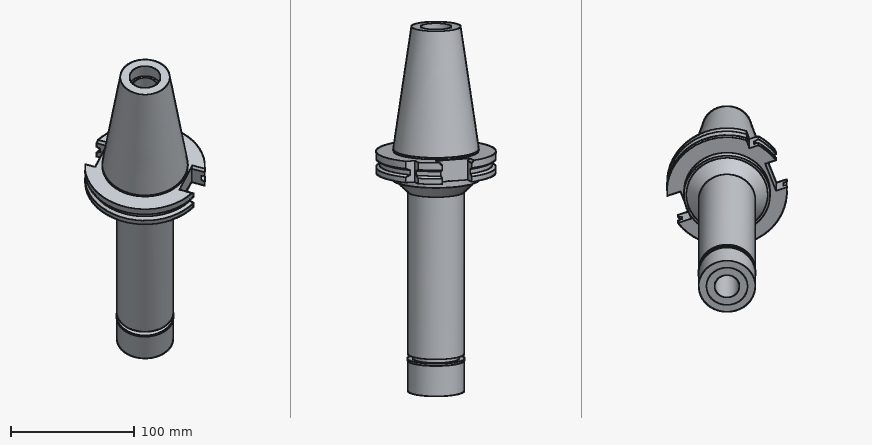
import cadquery as cq
import math


GAUGE_RADIUS = 69.85 / 2
TAPER_LENGTH = 101.75
TAPER_RATIO = 7 / 24
TAPER_END_RADIUS = GAUGE_RADIUS - TAPER_LENGTH * TAPER_RATIO / 2
RELIEF_STEP = 0.5
RELIEF_RADIUS = GAUGE_RADIUS - RELIEF_STEP

FLANGE_RADIUS = 97.5 / 2
FLANGE_TOP = -1.5
FLANGE_BOTTOM = -19.1
GROOVE_CENTER = -11.1
GROOVE_DEPTH = 3.0
GROOVE_FLOOR_RADIUS = FLANGE_RADIUS - GROOVE_DEPTH
GROOVE_FLOOR_WIDTH = 3.75
GROOVE_MOUTH_WIDTH = 7.1

KEYWAY_WIDTH = 25.7
KEYWAY_FLOOR_LEFT = 37.7
KEYWAY_FLOOR_RIGHT = 35.5
KEYWAY_CHAMFER = 2.0
NOTCH_X = -30.4
NOTCH_Y = 30.4

SHOULDER_RADIUS = 35.0
SHOULDER_BOTTOM = -25.0
CONE_TOP_RADIUS = 33.0
SHANK_RADIUS = 23.0
CONE_BOTTOM = SHOULDER_BOTTOM - (CONE_TOP_RADIUS - SHANK_RADIUS)
NECK_RADIUS = 19.0

OVERALL_LENGTH = 301.75
NOSE_END = TAPER_LENGTH - OVERALL_LENGTH
NUT_LENGTH = 27.0
NUT_TOP = NOSE_END + NUT_LENGTH
NECK_GAP = 3.7
SHANK_END = NUT_TOP + NECK_GAP
COLLAR_HEIGHT = 1.6
COLLAR_STEP = 0.25
COLLAR_RADIUS = SHANK_RADIUS + COLLAR_STEP
NUT_WEB = 8.0
NECK_END = NOSE_END + NUT_WEB

PILOT_RADIUS = 25.0 / 2
PILOT_DEPTH = 11.5
BORE_RADIUS = 21.0 / 2

COLLET_BORE_RADIUS = 20.0 / 2
COLLET_LENGTH = 45.0
COLLET_TOP = NOSE_END + COLLET_LENGTH
COLLET_HALF_ANGLE = 8.0
COLLET_SEAT_STEP = 1.0
COLLET_TOP_RADIUS = BORE_RADIUS + COLLET_SEAT_STEP
COLLET_FLARE = (COLLET_TOP - NECK_END) * math.tan(math.radians(COLLET_HALF_ANGLE))
COLLET_NOSE_RADIUS = COLLET_TOP_RADIUS + COLLET_FLARE


def revolved(profile):
    """Revolve a closed outline of (radius, z) points about the Z axis."""
    return cq.Workplane("XZ").polyline(profile).close().revolve(360, (0, 0), (0, 1))


def box_between(x_range, y_range, z_range):
    """Axis-aligned box given by its limits along each axis."""
    size = [high - low for low, high in (x_range, y_range, z_range)]
    corner = (x_range[0], y_range[0], z_range[0])
    return cq.Workplane("XY").box(*size, centered=False).translate(corner)


def turned_holder():
    """Taper, grooved flange, shoulder, shank and neck, with the stepped bore and collet seat."""
    return revolved([
        (PILOT_RADIUS, TAPER_LENGTH),
        (TAPER_END_RADIUS, TAPER_LENGTH),
        (GAUGE_RADIUS, 0),
        (RELIEF_RADIUS, 0),
        (RELIEF_RADIUS, FLANGE_TOP),
        (FLANGE_RADIUS, FLANGE_TOP),
        (FLANGE_RADIUS, GROOVE_CENTER + GROOVE_MOUTH_WIDTH / 2),
        (GROOVE_FLOOR_RADIUS, GROOVE_CENTER + GROOVE_FLOOR_WIDTH / 2),
        (GROOVE_FLOOR_RADIUS, GROOVE_CENTER - GROOVE_FLOOR_WIDTH / 2),
        (FLANGE_RADIUS, GROOVE_CENTER - GROOVE_MOUTH_WIDTH / 2),
        (FLANGE_RADIUS, FLANGE_BOTTOM),
        (SHOULDER_RADIUS, FLANGE_BOTTOM),
        (SHOULDER_RADIUS, SHOULDER_BOTTOM),
        (CONE_TOP_RADIUS, SHOULDER_BOTTOM),
        (SHANK_RADIUS, CONE_BOTTOM),
        (SHANK_RADIUS, SHANK_END),
        (NECK_RADIUS, SHANK_END),
        (NECK_RADIUS, NECK_END),
        (COLLET_NOSE_RADIUS, NECK_END),
        (COLLET_TOP_RADIUS, COLLET_TOP),
        (BORE_RADIUS, COLLET_TOP),
        (BORE_RADIUS, TAPER_LENGTH - PILOT_DEPTH),
        (PILOT_RADIUS, TAPER_LENGTH - PILOT_DEPTH),
    ])


def keyway(side, floor_distance):
    """Drive keyway on one side of the flange (side is -1 or +1), with chamfered top edges."""
    half_width = KEYWAY_WIDTH / 2
    mouth_half_width = half_width + KEYWAY_CHAMFER
    outline = [
        (-half_width, FLANGE_BOTTOM),
        (half_width, FLANGE_BOTTOM),
        (half_width, FLANGE_TOP - KEYWAY_CHAMFER),
        (mouth_half_width, FLANGE_TOP),
        (-mouth_half_width, FLANGE_TOP),
        (-half_width, FLANGE_TOP - KEYWAY_CHAMFER),
    ]
    depth = FLANGE_RADIUS - floor_distance
    start = floor_distance if side > 0 else -FLANGE_RADIUS
    return cq.Workplane("YZ").workplane(offset=start).polyline(outline).close().extrude(depth)


def orientation_notch():
    """Corner cut through the flange on its -X, +Y side."""
    return box_between((-FLANGE_RADIUS, NOTCH_X), (NOTCH_Y, FLANGE_RADIUS), (FLANGE_BOTTOM, FLANGE_TOP))


def make_holder():
    holder = turned_holder()
    holder = holder.cut(keyway(-1, KEYWAY_FLOOR_LEFT))
    holder = holder.cut(keyway(1, KEYWAY_FLOOR_RIGHT))
    return holder.cut(orientation_notch())


def make_nut():
    """Round nut around the neck, with a slightly raised collar and an opening for the collet nose."""
    collar_bottom = NUT_TOP - COLLAR_HEIGHT
    return revolved([
        (NECK_RADIUS, NUT_TOP),
        (COLLAR_RADIUS, NUT_TOP),
        (COLLAR_RADIUS, collar_bottom),
        (SHANK_RADIUS, collar_bottom - COLLAR_STEP),
        (SHANK_RADIUS, NOSE_END),
        (COLLET_NOSE_RADIUS, NOSE_END),
        (COLLET_NOSE_RADIUS, NECK_END),
        (NECK_RADIUS, NECK_END),
    ])


def make_collet():
    """Tapered collet with a straight nose and a through bore."""
    return revolved([
        (COLLET_BORE_RADIUS, COLLET_TOP),
        (COLLET_TOP_RADIUS, COLLET_TOP),
        (COLLET_NOSE_RADIUS, NECK_END),
        (COLLET_NOSE_RADIUS, NOSE_END),
        (COLLET_BORE_RADIUS, NOSE_END),
    ])


holder = make_holder()
nut = make_nut()
collet = make_collet()

result = cq.Compound.makeCompound([holder.val(), nut.val(), collet.val()])